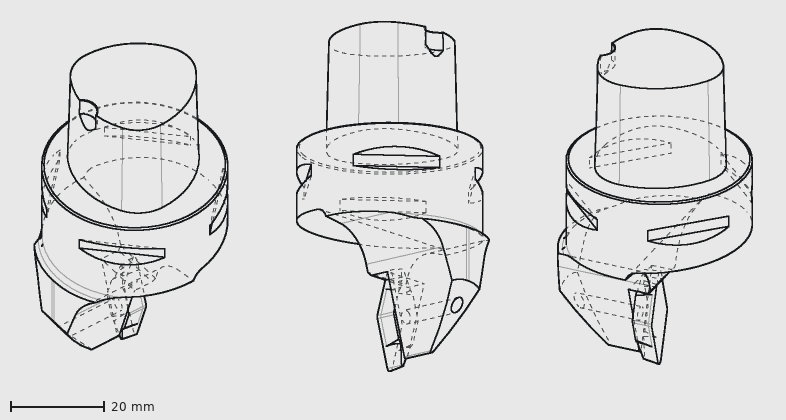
import cadquery as cq
import math

flange_radius = 20.0
flange_rim_height = 0.5
flange_rim_inset = 0.3
reach = 60.0

shank_height = 24.0
lobe_offset = 6.2
lobe_radius = 8.78
side_radius = lobe_radius + math.sqrt(3) * lobe_offset
shank_taper_ratio = 1 / 40
shank_taper = math.degrees(math.atan(shank_taper_ratio))

notch_radius = 3.3
notch_rim = 0.15
notch_centre_y = -14.1
notch_depth = 4.0
notch_point_depth = 3.3

groove_floor_distance = 17.7
groove_centre_z = -8.05
groove_floor_height = 2.5
groove_wall_angle = 30.0

nose_front_y = -21.85
nose_flat_width = 0.7
nose_side_radius = 19.6
cove_radius = 1.2
cove_start_z = -20.3
step_slope = 18.0

rim_z = -19.5
rim_slope = 8.1
shoulder_radius = 10.5
flank_angle = 17.5
flank_sharp_tip_z = -49.15
holder_tip_radius = 0.5

rear_rim_z = -16.05
rear_slope = 4.8
relief_y = 0.84
relief_radius = 3.2
seat_shoulder_z = -29.9
seat_y = -4.5
back_top = (nose_front_y, -33.75)
back_middle = (-17.6, -40.6)
back_bottom = (-11.6, -48.0)
screw_hole_diameter = 3.0

insert_top_y = 0.08
insert_tip_z = -50.0
insert_half_width = 4.16
insert_nose_radius = 0.8
insert_side_radius = 1.1
insert_clearance = 7.0
pad_top_y = -0.8
pad_half_length = 6.37
pad_back_half_length = 5.5
end_relief_start = 6.0
end_relief_angle = 10.9

flank_radians = math.radians(flank_angle)
nose_setback = insert_nose_radius * (1 / math.sin(flank_radians) - 1)
insert_half_length = insert_half_width / math.tan(flank_radians)
insert_centre_z = insert_tip_z - nose_setback + insert_half_length


def polar(radius, degrees):
    return radius * math.cos(math.radians(degrees)), radius * math.sin(math.radians(degrees))


def edges_near(plane, across, z):
    """Selector for the long edges of an XZ or YZ outline that pass through one corner of it."""
    margin = 0.1
    low = (across - margin, z - margin)
    high = (across + margin, z + margin)
    if plane == "XZ":
        return cq.selectors.BoxSelector((low[0], -reach, low[1]), (high[0], reach, high[1]))
    return cq.selectors.BoxSelector((-reach, *low), (reach, *high))


def build_shank():
    def lobe_point(lobe_angle, normal_angle):
        cx, cy = polar(lobe_offset, lobe_angle)
        px, py = polar(lobe_radius, normal_angle)
        return cx + px, cy + py

    outline = cq.Workplane("XY").moveTo(*lobe_point(-30, -60))
    for lobe_angle in (-30, 90, 210):
        side_angle = lobe_angle + 60
        cx, cy = polar(lobe_offset, side_angle + 180)
        px, py = polar(side_radius, side_angle)
        outline = outline.threePointArc(
            lobe_point(lobe_angle, lobe_angle), lobe_point(lobe_angle, lobe_angle + 30)
        )
        outline = outline.threePointArc((cx + px, cy + py), lobe_point(lobe_angle + 120, lobe_angle + 90))
    shank = outline.close().extrude(shank_height, taper=shank_taper)

    notch = (
        cq.Workplane("XZ")
        .moveTo(0, shank_height)
        .lineTo(notch_radius + notch_rim, shank_height)
        .lineTo(notch_radius, shank_height - notch_rim)
        .lineTo(notch_radius, shank_height - notch_depth)
        .lineTo(0, shank_height - notch_depth - notch_point_depth)
        .close()
        .revolve(360, (0, 0, 0), (0, 1, 0))
        .translate((0, notch_centre_y, 0))
    )
    return shank.cut(notch)


def build_flange(bottom_z):
    return (
        cq.Workplane("XY")
        .circle(flange_radius)
        .extrude(bottom_z)
        .faces(">Z")
        .chamfer(flange_rim_inset, flange_rim_height)
    )


def build_groove(angle):
    depth = reach - groove_floor_distance
    half_floor = groove_floor_height / 2
    half_mouth = half_floor + depth * math.tan(math.radians(groove_wall_angle))
    return (
        cq.Workplane("XZ")
        .moveTo(groove_floor_distance, groove_centre_z - half_floor)
        .lineTo(reach, groove_centre_z - half_mouth)
        .lineTo(reach, groove_centre_z + half_mouth)
        .lineTo(groove_floor_distance, groove_centre_z + half_floor)
        .close()
        .extrude(flange_radius, both=True)
        .rotate((0, 0, 0), (0, 0, 1), angle)
    )


def build_nose():
    """Rounded nose with a narrow front flat, stepped down to the flange by a cove and a slope."""
    half_flat = nose_flat_width / 2
    centre_y = nose_front_y + nose_side_radius
    side_x = half_flat + nose_side_radius
    dx, dy = polar(nose_side_radius, -45)
    nose = (
        cq.Workplane("XY", origin=(0, 0, cove_start_z))
        .moveTo(-half_flat, nose_front_y)
        .lineTo(half_flat, nose_front_y)
        .threePointArc((half_flat + dx, centre_y + dy), (side_x, centre_y))
        .lineTo(side_x, relief_y)
        .lineTo(-side_x, relief_y)
        .lineTo(-side_x, centre_y)
        .threePointArc((-half_flat - dx, centre_y + dy), (-half_flat, nose_front_y))
        .close()
        .extrude(-reach)
    )

    slope = math.radians(step_slope)
    cove_centre = flange_radius + cove_radius
    cove_end_radius = cove_centre - cove_radius * math.sin(slope)
    cove_end_z = cove_start_z - cove_radius * math.cos(slope)
    cove_middle_angle = 180 + (90 - step_slope) / 2
    cove_dx, cove_dz = polar(cove_radius, cove_middle_angle)
    step = (
        cq.Workplane("XZ")
        .moveTo(flange_radius, 0)
        .lineTo(flange_radius, cove_start_z)
        .threePointArc((cove_centre + cove_dx, cove_start_z + cove_dz), (cove_end_radius, cove_end_z))
        .lineTo(reach, cove_end_z - (reach - cove_end_radius) * math.tan(slope))
        .lineTo(reach, 0)
        .close()
        .revolve(360, (0, 0, 0), (0, 1, 0))
    )
    return nose.cut(step)


def build_front_outline():
    """Holder outline across X: sloping rim, round shoulders and flanks narrowing to a round tip."""
    rim_rise = (reach - flange_radius) * math.tan(math.radians(rim_slope))
    flank_rise = 1 / math.tan(flank_radians)
    rim_fall = math.tan(math.radians(rim_slope))
    corner_x = (rim_z - flange_radius * rim_fall - flank_sharp_tip_z) / (flank_rise - rim_fall)
    corner_z = flank_sharp_tip_z + corner_x * flank_rise
    outline = (
        cq.Workplane("XZ")
        .moveTo(0, flank_sharp_tip_z)
        .lineTo(corner_x, corner_z)
        .lineTo(reach, rim_z + rim_rise)
        .lineTo(reach, reach)
        .lineTo(-reach, reach)
        .lineTo(-reach, rim_z + rim_rise)
        .lineTo(-corner_x, corner_z)
        .close()
        .extrude(reach, both=True)
    )
    shoulders = edges_near("XZ", corner_x, corner_z) + edges_near("XZ", -corner_x, corner_z)
    tip = edges_near("XZ", 0, flank_sharp_tip_z)
    return outline.edges(shoulders).fillet(shoulder_radius).edges(tip).fillet(holder_tip_radius)


def build_side_outline():
    """Holder outline across Y: sloping rear rim, vertical relief, insert seat and curved back."""
    relief_top_z = rear_rim_z - (flange_radius - relief_y) * math.tan(math.radians(rear_slope))
    far_rim_z = rear_rim_z + (reach - flange_radius) * math.tan(math.radians(rear_slope))
    chamfer = relief_y - insert_top_y
    outline = (
        cq.Workplane("YZ")
        .moveTo(reach, far_rim_z)
        .lineTo(relief_y, relief_top_z)
        .lineTo(relief_y, seat_shoulder_z + chamfer)
        .lineTo(insert_top_y, seat_shoulder_z)
        .lineTo(seat_y, seat_shoulder_z)
        .lineTo(seat_y, back_bottom[1])
        .lineTo(*back_bottom)
        .threePointArc(back_middle, back_top)
        .lineTo(-reach, back_top[1])
        .lineTo(-reach, reach)
        .lineTo(reach, reach)
        .close()
        .extrude(reach, both=True)
    )
    relief_corner = edges_near("YZ", relief_y, relief_top_z)
    return outline.edges(relief_corner).fillet(relief_radius)


def build_pad():
    """Straight-sided pad on the insert, with ends that slant in towards its back."""
    clearance_slope = math.tan(math.radians(insert_clearance)) / math.cos(flank_radians)
    pad_half_width = insert_half_width - (insert_top_y - pad_top_y) * clearance_slope
    pad_height = pad_top_y - seat_y

    def flank_x(distance):
        return pad_half_width - distance * math.tan(flank_radians)

    root_x = flank_x(pad_half_length) - pad_height * clearance_slope

    def section(half_length):
        corner = (flank_x(half_length), half_length)
        root = (root_x, pad_half_length)
        quarter = [(pad_half_width, 0), corner, root]
        upper = quarter + [(-x, z) for x, z in reversed(quarter)]
        return upper + [(x, -z) for x, z in upper[-2:0:-1]]

    pad = (
        cq.Workplane("XZ", origin=(0, pad_top_y, 0))
        .polyline(section(pad_half_length))
        .close()
        .workplane(offset=pad_height)
        .polyline(section(pad_back_half_length))
        .close()
        .loft(ruled=True)
    )
    return pad.edges(">X or <X").fillet(insert_side_radius)


def build_insert():
    """Rhombic insert: tapered sides, a straight-sided pad midway and a relieved back at both ends."""
    thickness = insert_top_y - seat_y
    blank = (
        cq.Workplane("XZ")
        .moveTo(0, -insert_half_length)
        .lineTo(insert_half_width, 0)
        .lineTo(0, insert_half_length)
        .lineTo(-insert_half_width, 0)
        .close()
        .extrude(thickness)
    )
    blank = blank.edges("|Y").edges(">Z or <Z").fillet(insert_nose_radius)
    blank = blank.edges("|Y").edges(">X or <X").fillet(insert_side_radius)
    top_outline = blank.faces(">Y").wires().val()
    plate = cq.Workplane("XZ").add(top_outline).toPending().extrude(thickness, taper=insert_clearance)

    insert = plate.translate((0, insert_top_y, 0)).union(build_pad())

    relief_rise = (insert_half_length - end_relief_start) * math.tan(math.radians(end_relief_angle))
    end_relief = (
        cq.Workplane("YZ")
        .moveTo(seat_y, end_relief_start)
        .lineTo(seat_y, insert_half_length)
        .lineTo(seat_y + relief_rise, insert_half_length)
        .close()
        .extrude(reach, both=True)
    )
    insert = insert.cut(end_relief).cut(end_relief.mirror("XY"))
    return insert.translate((0, 0, insert_centre_z))


def build_holder(insert):
    body = build_flange(cove_start_z - cove_radius).union(build_nose())
    body = body.intersect(build_front_outline()).intersect(build_side_outline())
    for angle in (45, 135, 225, 315):
        body = body.cut(build_groove(angle))
    screw_hole = (
        cq.Workplane("XZ", origin=(0, seat_y, insert_centre_z))
        .circle(screw_hole_diameter / 2)
        .extrude(reach)
    )
    return body.cut(screw_hole).cut(insert).union(build_shank())


insert = build_insert()
holder = build_holder(insert)

result = cq.Compound.makeCompound([holder.val(), insert.val()])